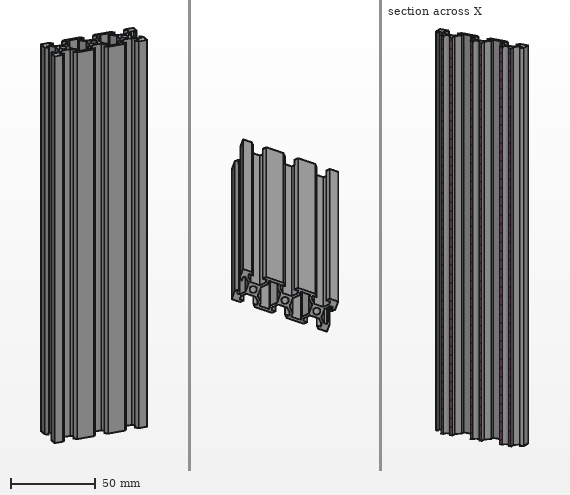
import cadquery as cq

cell = 20.0
cell_count = 3
length = 250.0

core_side = 7.8
bore_diameter = 4.2
lip_thickness = 1.8
mouth_width = 9.2
slot_width = 11.0
web_thickness = 1.5

cell_half = cell / 2
core_half = core_side / 2
mouth_half = mouth_width / 2
slot_half = slot_width / 2
lip_inner = cell_half - lip_thickness
throat_half = mouth_half - lip_thickness
web_offset = web_thickness / 2 * 2 ** 0.5
core_flat_half = core_half - web_offset
slot_shoulder = slot_half + web_offset
chamber_end = slot_half + web_thickness

centres = [(0, (i - (cell_count - 1) / 2) * cell) for i in range(cell_count)]


def mirrored_outline(half_points):
    """Close a right-hand chain of points with its reflection across the Y axis."""
    return half_points + [(-x, y) for x, y in reversed(half_points)]


def prism(points):
    return cq.Workplane("XY").polyline(points).close().extrude(length)


def slot_cutter(centre, angle):
    """T-slot opening towards +Y of a cell, turned about the cell centre."""
    outline = mirrored_outline([
        (core_flat_half, core_half),
        (slot_half, slot_shoulder),
        (slot_half, lip_inner),
        (throat_half, lip_inner),
        (mouth_half, cell_half),
    ])
    return prism(outline).rotate((0, 0, 0), (0, 0, 1), angle).translate((*centre, 0))


def chamber_cutter(mid_y):
    """Closed hollow shared by two neighbouring cells, centred on their joint."""
    upper = [
        (lip_inner, cell_half - chamber_end),
        (chamber_end - web_offset, cell_half - chamber_end),
        (core_flat_half, cell_half - core_half),
    ]
    lower = [(x, -y) for x, y in reversed(upper)]
    return prism(mirrored_outline(lower + upper)).translate((0, mid_y, 0))


result = cq.Workplane("XY").box(cell, cell * cell_count, length, centered=(True, True, False))

for centre in centres:
    for angle in (90, -90):
        result = result.cut(slot_cutter(centre, angle))
result = result.cut(slot_cutter(centres[-1], 0))
result = result.cut(slot_cutter(centres[0], 180))

for centre in centres[:-1]:
    result = result.cut(chamber_cutter(centre[1] + cell_half))

bores = cq.Workplane("XY").pushPoints(centres).circle(bore_diameter / 2).extrude(length)
result = result.cut(bores)